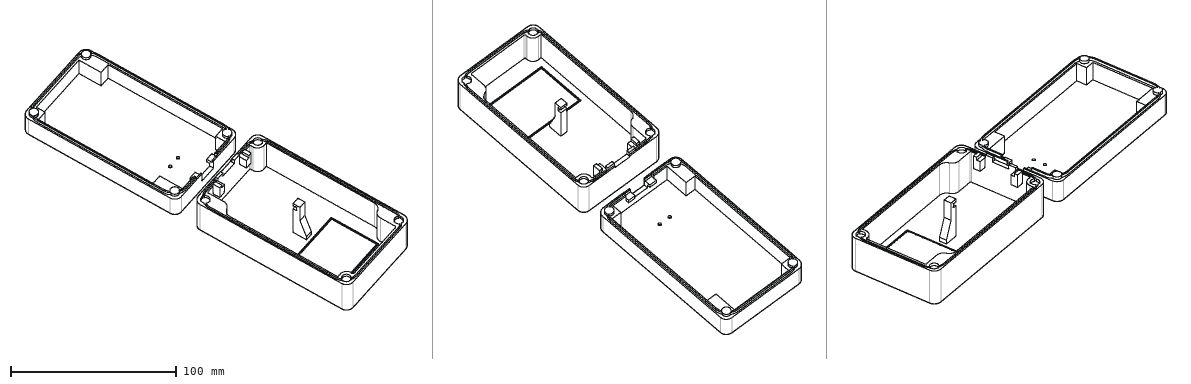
import cadquery as cq
import math

total_length = 242.5
length = 115.0
width = 65.0
corner_radius = 4.8
wall = 3.0
far_wall = 3.5
floor = 2.0

cover_height = 15.0
housing_height = 25.0

lip_inset = 1.0
lip_width = 1.0
lip_height = 2.0
groove_depth = lip_height
lip_bend_start = 11.0
lip_bend_meet = 4.0

peg_radius = 3.0
peg_inset = 5.0

post_width = 10.2
post_short = 10.0
post_long = 20.0
post_blend_run = 4.8
post_root_radius = 0.7

notch_half_width = 6.0
tab_outer_y = 11.5
tab_height = 2.2
housing_notch_depth = 1.0
cover_notch_floor = 8.0
shelf_reach = 2.2
shelf_thickness = 2.5

bracket_step_y = 14.0
bracket_outer_y = 16.5
bracket_end = 8.0
bracket_height = 7.3

floor_hole_radius = 1.0
floor_hole_x = 90.0
floor_hole_y = 4.1

pillar_start = 52.6
pillar_neck_start = 55.0
pillar_back = 57.7
pillar_foot_end = 62.5
pillar_width = 5.0
pillar_top = 30.0
hook_underside = 28.0
pillar_ledge = 25.0
pillar_slope_top = 17.0
pillar_slope_bottom = 4.8

frame_start = 64.7
frame_length = 35.2
frame_width = 45.3
frame_center_y = -2.5
frame_line = 0.7
frame_depth = 0.7

half_length = length / 2
half_width = width / 2
overlap = 0.2


def block(x_range, y_range, z_range):
    """Axis-aligned box between the given limits."""
    size = [high - low for low, high in (x_range, y_range, z_range)]
    low_corner = (x_range[0], y_range[0], z_range[0])
    return cq.Workplane("XY").box(*size, centered=False).translate(low_corner)


def footprint(height):
    """Solid block with rounded vertical corners, centred on the origin in X and Y."""
    return cq.Workplane("XY").rect(length, width).extrude(height).edges("|Z").fillet(corner_radius)


def cavity(latch_side, height):
    """Inside of a shell; the wall opposite the latch end is thicker than the others."""
    latch_x = latch_side * (half_length - wall)
    far_x = -latch_side * (half_length - far_wall)
    x_range = sorted((latch_x, far_x))
    return block(x_range, (wall - half_width, half_width - wall), (floor, height))


def corner_signs():
    return [(sx, sy) for sx in (-1, 1) for sy in (-1, 1)]


def corner_cylinders(bottom, height):
    """Cylinders near the four corners, used for the pegs and their sockets."""
    points = [(sx * (half_length - peg_inset), sy * (half_width - peg_inset)) for sx, sy in corner_signs()]
    return cq.Workplane("XY", origin=(0, 0, bottom)).pushPoints(points).circle(peg_radius).extrude(height)


def tangent_arc_middle(run, drop):
    """Middle of an arc that starts along a line and is `drop` off it after `run`, as (run, drop)."""
    radius = (run**2 + drop**2) / (2 * drop)
    half_angle = math.atan2(drop, run)
    return radius * math.sin(half_angle), radius * (1 - math.cos(half_angle))


def lip_outline(bottom):
    """Outer path of the lip: straight sides that bend inwards to meet inside each corner peg."""
    side_x = half_length - lip_inset
    side_y = half_width - lip_inset
    bend_x = half_length - lip_bend_start
    bend_y = half_width - lip_bend_start
    mid_run, mid_drop = tangent_arc_middle(lip_bend_start - lip_bend_meet, lip_bend_meet - lip_inset)
    corner = [
        (bend_x, side_y),
        (bend_x + mid_run, side_y - mid_drop),
        (half_length - lip_bend_meet, half_width - lip_bend_meet),
        (side_x - mid_drop, bend_y + mid_run),
        (side_x, bend_y),
    ]
    path = cq.Workplane("XY", origin=(0, 0, bottom)).moveTo(-bend_x, -side_y)
    for sx, sy in ((1, -1), (1, 1), (-1, 1), (-1, -1)):
        points = [(sx * x, sy * y) for x, y in corner]
        if sx == sy:
            points.reverse()
        start, first_middle, meet, second_middle, end = points
        path = path.lineTo(*start).threePointArc(first_middle, meet).threePointArc(second_middle, end)
    return path.close()


def lip_ring(bottom, height):
    """Thin ring that follows the rim, shared by the lip and its groove."""
    outer = lip_outline(bottom).extrude(height)
    inner = lip_outline(bottom).offset2D(-lip_width).extrude(height)
    return outer.cut(inner)


def latch_gap(latch_side, bottom, height):
    """Block over the latch end's wall where the tabs and pockets interrupt the lip and its groove."""
    outer_x = latch_side * half_length
    inner_x = latch_side * (half_length - post_width)
    x_range = sorted((outer_x, inner_x))
    return block(x_range, (-tab_outer_y, tab_outer_y), (bottom, bottom + height))


def square_post(sx, sy, post_length):
    """Plain corner post of the cover."""
    x_range = sorted((sx * (half_length - lip_inset), sx * (half_length - post_length)))
    y_range = sorted((sy * (half_width - lip_inset), sy * (half_width - post_width)))
    return block(x_range, y_range, (0, cover_height))


def build_cover():
    outline = footprint(cover_height)
    body = outline.cut(cavity(1, cover_height))
    for sx, sy in corner_signs():
        post_length = post_short if sx == sy else post_long
        body = body.union(square_post(sx, sy, post_length).intersect(outline))

    lip = lip_ring(cover_height - overlap, lip_height + overlap)
    lip = lip.cut(latch_gap(1, cover_height - overlap, lip_height + overlap))
    body = body.union(lip)
    body = body.union(corner_cylinders(cover_height - overlap, lip_height + overlap))

    shelf_start = half_length - wall - shelf_reach
    pocket_x = (shelf_start, half_length - lip_inset)
    pocket_y = (-tab_outer_y, tab_outer_y)
    pocket_floor = cover_height - tab_height
    lip_top = cover_height + lip_height
    shelf = block(pocket_x, pocket_y, (pocket_floor - shelf_thickness, pocket_floor))
    pocket = block(pocket_x, pocket_y, (pocket_floor, lip_top))
    notch_y = (-notch_half_width, notch_half_width)
    notch = block((shelf_start, half_length), notch_y, (cover_notch_floor, lip_top))
    body = body.union(shelf).cut(pocket).cut(notch)

    hole_points = [(floor_hole_x - half_length, sy * floor_hole_y) for sy in (-1, 1)]
    holes = cq.Workplane("XY").pushPoints(hole_points).circle(floor_hole_radius).extrude(floor)
    return body.cut(holes)


def round_post():
    """Short housing post at the +X, +Y corner, rounded around its socket."""
    x_range = (half_length - post_short, half_length)
    y_range = (half_width - post_width, half_width)
    post = block(x_range, y_range, (0, housing_height))
    return post.edges("|Z and <X and <Y").fillet(post_short - peg_inset)


def blended_post():
    """Long housing post at the +X, +Y corner, joined to the side wall by an S-shaped blend."""
    run = post_blend_run
    drop = (post_width - wall) / 2
    mid_run, mid_drop = tangent_arc_middle(run, drop)
    edge_x = half_length - post_long
    wall_y = half_width - wall
    face_y = half_width - post_width
    return (
        cq.Workplane("XY")
        .moveTo(edge_x - run, half_width)
        .lineTo(edge_x - run, wall_y)
        .threePointArc((edge_x - run + mid_run, wall_y - mid_drop), (edge_x, wall_y - drop))
        .threePointArc((edge_x + run - mid_run, face_y + mid_drop), (edge_x + run, face_y))
        .lineTo(half_length, face_y)
        .lineTo(half_length, half_width)
        .close()
        .extrude(housing_height)
    )


def hooked_pillar():
    """Pillar with a sloped back and a hook that points towards -X."""
    profile = [
        (pillar_start, 0),
        (pillar_foot_end, 0),
        (pillar_foot_end, pillar_slope_bottom),
        (pillar_back, pillar_slope_top),
        (pillar_back, pillar_top),
        (pillar_start, pillar_top),
        (pillar_start, hook_underside),
        (pillar_neck_start, hook_underside),
        (pillar_neck_start, pillar_ledge),
        (pillar_start, pillar_ledge),
    ]
    pillar = cq.Workplane("XZ").polyline(profile).close().extrude(pillar_width / 2, both=True)
    return pillar.translate((-half_length, 0, 0))


def bracket(side):
    """Two-step bracket on the inner face of the latch end."""
    x_range = (wall - half_length, bracket_end - half_length)
    bottom = housing_height - bracket_height
    low_y = sorted((side * tab_outer_y, side * bracket_outer_y))
    high_y = sorted((side * bracket_step_y, side * bracket_outer_y))
    low = block(x_range, low_y, (bottom, housing_height))
    high = block(x_range, high_y, (bottom, housing_height + tab_height))
    return low.union(high)


def build_housing():
    outline = footprint(housing_height)
    inside = cavity(-1, housing_height)
    half_turn = ((0, 0, 0), (0, 0, 1), 180)
    blended = blended_post()
    rounded = round_post().mirror("YZ")
    for post in (blended, blended.rotate(*half_turn), rounded, rounded.rotate(*half_turn)):
        inside = inside.cut(post)
    inside = inside.edges("|Z and (<X or >X)").fillet(post_root_radius)
    body = outline.cut(inside)

    groove_floor = housing_height - groove_depth
    groove = lip_ring(groove_floor, groove_depth)
    groove = groove.cut(latch_gap(-1, groove_floor, groove_depth))
    body = body.cut(groove).cut(corner_cylinders(groove_floor, groove_depth))

    tabs = block(
        (lip_inset - half_length, wall - half_length),
        (-tab_outer_y, tab_outer_y),
        (housing_height - overlap, housing_height + tab_height),
    )
    notch = block(
        (-half_length, wall - half_length),
        (-notch_half_width, notch_half_width),
        (housing_height - housing_notch_depth, housing_height + tab_height),
    )
    body = body.union(tabs).cut(notch)
    for side in (-1, 1):
        body = body.union(bracket(side))

    frame_center = (frame_start + frame_length / 2 - half_length, frame_center_y, floor - frame_depth)
    frame = (
        cq.Workplane("XY", origin=frame_center)
        .rect(frame_length, frame_width)
        .rect(frame_length - 2 * frame_line, frame_width - 2 * frame_line)
        .extrude(frame_depth)
    )
    return body.cut(frame).union(hooked_pillar())


center_offset = (total_length - length) / 2
cover = build_cover().translate((-center_offset, 0, 0))
housing = build_housing().translate((center_offset, 0, 0))

result = cq.Compound.makeCompound([cover.val(), housing.val()])